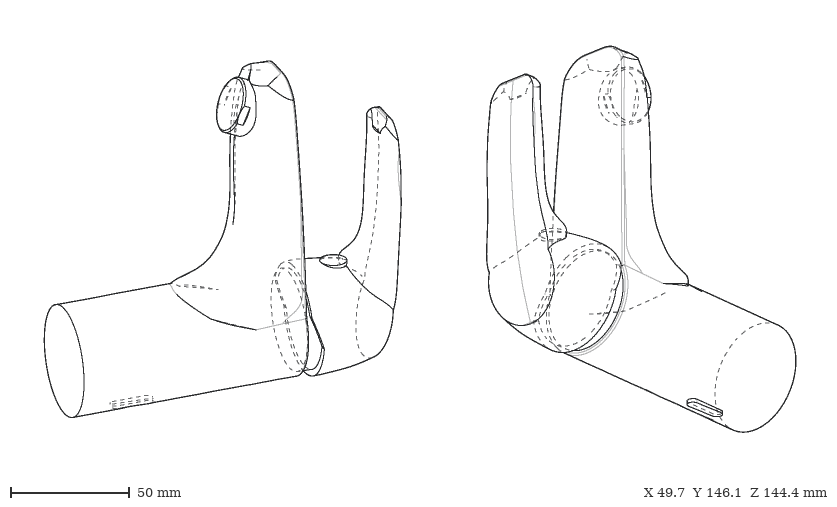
import cadquery as cq
import math


body_radius = 24.05
body_top_y = 104.0
body_rise = 3.75

back_low = (100.9, -35.0)
back_middle = (99.6, 60.0)
back_high = (95.6, 130.0)
back_edge_round = 0.8

section_fullness = 0.76

spout_top_z = 119.9
spout_flat_half_width = 5.0
spout_corner_start = (18.5, 106.5)
spout_brow_back = (95.0, spout_top_z)
spout_brow_middle = (88.5, 118.6)
spout_brow_front = (82.0, 115.2)

aerator_diameter = 24.0
aerator_face_center = (74.3, 106.4)
aerator_tilt = 22.9
aerator_visible_height = 3.6
aerator_length = 9.0
aerator_chamfer = 0.8
wrench_flat_length = 8.3

pad_length = 19.1
pad_width = 5.0
pad_center_y = 30.2
pad_bottom_z = -24.24

handle_axis_z = 3.45
handle_radius = 24.84
handle_end_y = 102.8
handle_step_y = 107.6
neck_radius = 22.0
neck_start_y = 97.0
neck_end_y = 112.0
handle_back_y = 146.04
lever_tip_z = 92.3
lever_flat_half_width = 4.5
lever_corner_start = (12.95, 81.0)
button_diameter = 11.5
button_center_y = 120.7
button_depth = 4.0
button_top_z = handle_axis_z + 24.45

clip_reach = 200.0


def u_section(back, tip, half_width, straight):
    """U-shaped wire: flat at the back, parallel sides, rounded tip. Points are (y, z)."""
    depth = math.dist(back, tip)
    toward_tip = cq.Vector(0, tip[0] - back[0], tip[1] - back[1]).normalized()
    normal = cq.Vector(1, 0, 0).cross(toward_tip)
    plane = cq.Plane(origin=(0, back[0], back[1]), xDir=(1, 0, 0), normal=normal)
    shoulder_x = half_width * section_fullness
    shoulder_y = straight + (depth - straight) * section_fullness
    return (
        cq.Workplane(plane)
        .moveTo(-half_width, 0)
        .lineTo(half_width, 0)
        .lineTo(half_width, straight)
        .spline(
            [(shoulder_x, shoulder_y), (0, depth), (-shoulder_x, shoulder_y), (-half_width, straight)],
            tangents=[(0, 1), (0, -1)],
            includeCurrent=True,
        )
        .close()
        .val()
    )


def loft_sections(sections):
    wires = [u_section(*section) for section in sections]
    return cq.Workplane(obj=cq.Solid.makeLoft(wires))


def y_plane(y, z=0.0):
    """Sketch plane facing +Y with local x = -X and local y = Z."""
    return cq.Workplane(cq.Plane(origin=(0, y, z), xDir=(-1, 0, 0), normal=(0, 1, 0)))


def rounded_top_clip(corner_start, flat_half_width, top_z):
    """Tall prism along Y whose top has elliptical shoulders on both sides."""
    side_x, side_z = corner_start
    bottom_z = -clip_reach / 2
    wide = 2 * side_x
    middle_x = flat_half_width + (side_x - flat_half_width) * math.sqrt(0.5)
    middle_z = side_z + (top_z - side_z) * math.sqrt(0.5)
    right = (
        cq.Workplane("XZ")
        .moveTo(0, bottom_z)
        .lineTo(wide, bottom_z)
        .lineTo(wide, side_z)
        .lineTo(side_x, side_z)
        .spline(
            [(middle_x, middle_z), (flat_half_width, top_z)],
            tangents=[(0, 1), (-1, 0)],
            includeCurrent=True,
        )
        .lineTo(0, top_z)
        .close()
        .extrude(-clip_reach)
    )
    return right.union(right.mirror("YZ"))


def make_body():
    foot = cq.Wire.makeCircle(body_radius, cq.Vector(0, 0, 0), cq.Vector(0, 1, 0))
    head = cq.Wire.makeCircle(body_radius, cq.Vector(0, body_top_y, body_rise), cq.Vector(0, 1, 0))
    return cq.Workplane(obj=cq.Solid.makeLoft([foot, head], True))


def make_spout():
    back = body_top_y
    sections = [
        ((back, 3.0), (46.0, 22.0), 22.2, 13.0),
        ((back, 14.0), (50.5, 26.0), 22.0, 10.0),
        ((back, 21.5), (58.0, 27.8), 21.8, 5.5),
        ((back, 29.0), (66.0, 31.8), 21.6, 5.5),
        ((back, 38.0), (72.5, 38.0), 21.2, 5.5),
        ((back, 48.0), (76.0, 48.0), 20.9, 5.5),
        ((back, 70.0), (76.4, 70.0), 20.0, 5.5),
        ((back, 97.5), (77.4, 97.5), 18.7, 5.5),
        ((back, 110.0), (80.3, 110.0), 17.8, 5.5),
        ((back, 122.0), (84.0, 122.0), 16.8, 5.5),
    ]
    spout = loft_sections(sections)
    spout = spout.intersect(rounded_top_clip(spout_corner_start, spout_flat_half_width, spout_top_z))
    brow = (
        cq.Workplane("YZ")
        .moveTo(*spout_brow_back)
        .threePointArc(spout_brow_middle, spout_brow_front)
        .lineTo(spout_brow_front[0] - 20, spout_brow_front[1] - 10)
        .lineTo(spout_brow_front[0] - 20, spout_top_z)
        .close()
        .extrude(clip_reach / 2, both=True)
    )
    return spout.cut(brow)


def trim_back(shape):
    """Cut off everything behind the bowed back and round the new rim."""
    behind = (
        cq.Workplane("YZ")
        .moveTo(*back_low)
        .threePointArc(back_middle, back_high)
        .lineTo(clip_reach, back_high[1])
        .lineTo(clip_reach, back_low[1])
        .close()
        .extrude(clip_reach / 2, both=True)
    )
    shape = shape.cut(behind)
    return shape.faces(">Y").edges().fillet(back_edge_round)


def make_aerator():
    tilt = math.radians(aerator_tilt)
    outward = (0, -math.cos(tilt), math.sin(tilt))
    face = cq.Plane(origin=(0, *aerator_face_center), xDir=(1, 0, 0), normal=outward)
    radius = aerator_diameter / 2
    aerator = cq.Workplane(face).circle(radius).extrude(-aerator_length)
    aerator = aerator.faces(cq.selectors.DirectionMinMaxSelector(cq.Vector(*outward))).chamfer(aerator_chamfer)
    flat_x = math.sqrt(radius**2 - (wrench_flat_length / 2) ** 2)
    for side in (-1, 1):
        flat = (
            cq.Workplane(face)
            .center(side * (flat_x + radius / 2), 0)
            .rect(radius, aerator_diameter)
            .extrude(-aerator_visible_height)
        )
        aerator = aerator.cut(flat)
    return aerator


def make_pad():
    return (
        cq.Workplane("XY", origin=(0, pad_center_y, pad_bottom_z))
        .slot2D(pad_length, pad_width, 90)
        .extrude(body_radius / 2)
    )


def make_neck():
    return y_plane(neck_start_y, handle_axis_z).circle(neck_radius).extrude(neck_end_y - neck_start_y)


def make_handle_shell():
    """Barrel-shaped handle turned about its own axis along Y."""
    return (
        cq.Workplane("XY", origin=(0, 0, handle_axis_z))
        .moveTo(0, handle_end_y)
        .lineTo(handle_radius - 0.4, handle_end_y)
        .spline(
            [(handle_radius, 107.5), (24.45, 114.0), (23.2, 124.8), (21.2, 133.5), (19.2, 139.4), (13.9, 146.0)],
            includeCurrent=True,
        )
        .lineTo(0, 150.0)
        .close()
        .revolve(360, (0, 0, 0), (0, 1, 0))
    )


def make_lever():
    back = 150.0
    sections = [
        ((back, 0.0), (124.0, 21.0), 17.0, 10.0),
        ((back, 17.0), (129.8, 28.2), 17.0, 8.0),
        ((back, 29.0), (134.9, 32.0), 15.4, 6.0),
        ((back, 39.5), (137.2, 39.5), 14.5, 4.5),
        ((back, 60.0), (138.3, 60.0), 13.9, 4.5),
        ((back, 80.0), (139.1, 80.0), 12.8, 4.5),
        ((back, 95.0), (139.4, 95.0), 12.0, 4.5),
    ]
    lever = loft_sections(sections)
    return lever.intersect(rounded_top_clip(lever_corner_start, lever_flat_half_width, lever_tip_z))


def handle_side_clip():
    """Prism along X with the bowed back and rounded tip of the handle."""
    return (
        cq.Workplane("YZ")
        .moveTo(90.0, -40.0)
        .lineTo(128.0, -40.0)
        .lineTo(134.1, -17.1)
        .spline(
            [(141.4, 10.3), (145.0, 39.5), (handle_back_y, 70.0), (144.4, 91.0)],
            includeCurrent=True,
        )
        .threePointArc((143.4, lever_tip_z), (142.0, 91.8))
        .threePointArc((140.2, 89.8), (139.2, 86.0))
        .lineTo(90.0, 86.0)
        .close()
        .extrude(clip_reach / 2, both=True)
    )


def handle_step():
    """Relief that shortens the lower half of the handle."""
    return (
        cq.Workplane("YZ")
        .moveTo(handle_end_y - 5, 13.0)
        .lineTo(handle_end_y, 13.0)
        .lineTo(handle_step_y, -1.0)
        .lineTo(handle_step_y, -40.0)
        .lineTo(handle_end_y - 5, -40.0)
        .close()
        .extrude(clip_reach / 2, both=True)
    )


def make_button():
    return (
        cq.Workplane("XY", origin=(0, button_center_y, button_top_z))
        .circle(button_diameter / 2)
        .extrude(-button_depth)
    )


def make_handle():
    handle = make_handle_shell().union(make_lever()).intersect(handle_side_clip())
    return handle.cut(handle_step()).union(make_button())


body = trim_back(make_body().union(make_spout()))
result = body.union(make_aerator()).union(make_pad()).union(make_neck()).union(make_handle())